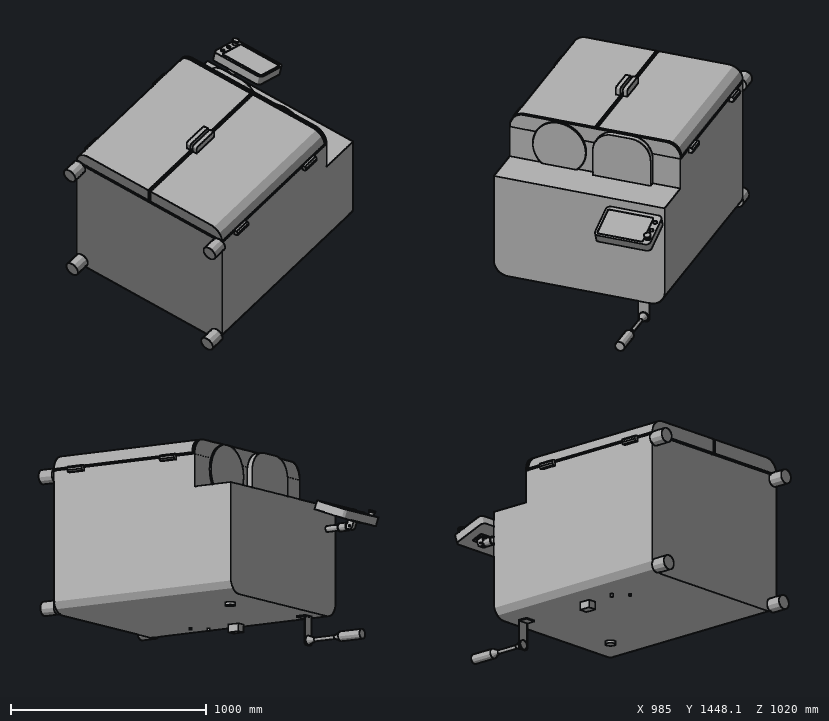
import cadquery as cq
import math


CASE_WIDTH = 935.0
CASE_DEPTH = 825.0
CASE_LENGTH = 1100.0
CORNER_RADIUS = 77.0
LEDGE_Z = 570.0
HEADER_TOP_Y = 877.0
HEADER_THICKNESS = 6.0
DOOR_SEAT_Z = 740.0

DOOR_BACK_Z = 750.0
DOOR_END_Y = 860.0
DOOR_GAP = 15.0
SEAL_REACH = 5.0
SEAL_INSET = 1.0
HANDLE_WIDTH = 25.0
HANDLE_HEIGHT = 42.0
HANDLE_LENGTH = 150.0
HANDLE_MID_Y = 430.0
HANDLE_END_RADIUS = 12.0

FOOT_RADIUS = 38.0
FOOT_LENGTH = 83.0
FOOT_PLACES = [(449.0, 718.0), (433.0, FOOT_RADIUS)]

HINGE_LENGTH = 90.0
HINGE_WIDTH = 29.0
HINGE_CHAMFER = 9.0
HINGE_REACH = 25.0
HINGE_Z = 735.0
HINGE_MIDS_Y = [145.0, 718.0]

HUMP_LEFT = -315.0
HUMP_WIDTH = 315.0
HUMP_RADIUS = 105.0
HUMP_TOP_Z = 824.0
HUMP_THICKNESS = 30.0
DISC_X = 193.0
DISC_RADIUS = 145.0
DISC_THICKNESS = 10.0

BLOCK_X, BLOCK_Y = -325.0, 579.0
BLOCK_WIDTH, BLOCK_LENGTH, BLOCK_DEPTH = 48.0, 62.0, 40.0
PORT_X, PORT_Y = 217.0, 922.0
PORT_RADIUS, PORT_DEPTH = 26.0, 15.0
KNOBS = [(-339.0, 400.0, 7.0, 15.0), (-274.0, 333.0, 6.0, 9.0)]

LAMP_X = -325.0
LAMP_Z = -127.0
LAMP_END_Y = 1365.0
LAMP_HEAD_RADIUS = 26.0
LAMP_HEAD_LENGTH = 133.0
LAMP_SHOULDER_LENGTH = 13.0
LAMP_COLLAR_RADIUS = 19.0
LAMP_COLLAR_LENGTH = 23.0
LAMP_ROD_RADIUS = 10.0
BRACKET_WIDTH = 61.0
BRACKET_SHEET = 6.0
BRACKET_TOP_Y = 1030.0
BRACKET_FLANGE = 54.0
BRACKET_DROP = 153.0
BRACKET_CORNER = 17.0
LAMP_BASE_RADIUS = 25.0
LAMP_BASE_LENGTH = 40.0
LAMP_STUB_RISE = 1.0

SCREEN_TILT = 20.0
DISPLAY_CENTER = (-335.0, 1261.0, 508.0)
DISPLAY_WIDTH, DISPLAY_LENGTH, DISPLAY_THICKNESS = 304.0, 204.0, 48.0
DISPLAY_CORNER = 23.0
SCREEN_WIDTH, SCREEN_LENGTH = 249.0, 168.0
SCREEN_SHIFT = (15.0, 3.0)
SCREEN_RECESS = 3.0
SCREEN_CORNER = 9.0
BUTTON_X, BUTTON_Y = -129.0, 3.0
BUTTON_PITCH = 55.0
BUTTON_RADIUS, BUTTON_HEIGHT = 10.0, 3.0
STOP_STEM_RADIUS, STOP_STEM_HEIGHT = 15.0, 16.0
STOP_HEAD_RADIUS, STOP_HEAD_HEIGHT = 17.0, 9.0
ARM_X, ARM_Z = -392.0, 452.0
POLE_RADIUS = 16.0
SLEEVE_RADIUS = 22.0
SLEEVE_START_Y, SLEEVE_END_Y = 1178.0, 1227.0
PIVOT_Y = 1248.0
PIVOT_RADIUS = 19.0
PIVOT_WIDTH = 29.0
PIVOT_HOLE_RADIUS = 5.0
PAD_LENGTH, PAD_THICKNESS = 61.0, 6.0


def box(x0, x1, y0, y1, z0, z1):
    return cq.Workplane("XY").box(x1 - x0, y1 - y0, z1 - z0, centered=False).translate((x0, y0, z0))


def rod(x, z, radius, y0, y1):
    """Cylinder along Y."""
    return cq.Workplane("XZ", origin=(x, y0, z)).circle(radius).extrude(y0 - y1)


def stud(x, y, radius, z0, z1):
    """Cylinder along Z."""
    return cq.Workplane("XY", origin=(x, y, z0)).circle(radius).extrude(z1 - z0)


def rounded_casing(y0, y1, inset=0):
    """Casing section between two Y positions, all four long edges rounded, shrunk by the inset."""
    half = CASE_WIDTH / 2 - inset
    return box(-half, half, y0, y1, inset, CASE_DEPTH - inset).edges("|Y").fillet(CORNER_RADIUS - inset)


def make_hinge(side, mid_y):
    """Bar with chamfered outer edges on the side of the casing, clear of the door seal."""
    hinge = box(
        CASE_WIDTH / 2, CASE_WIDTH / 2 + HINGE_REACH,
        mid_y - HINGE_LENGTH / 2, mid_y + HINGE_LENGTH / 2,
        HINGE_Z - HINGE_WIDTH / 2, HINGE_Z + HINGE_WIDTH / 2,
    ).edges(">X and |Y").chamfer(HINGE_CHAMFER)
    return hinge if side > 0 else hinge.mirror("YZ")


def make_header_covers():
    hump = box(
        HUMP_LEFT, HUMP_LEFT + HUMP_WIDTH,
        HEADER_TOP_Y, HEADER_TOP_Y + HUMP_THICKNESS,
        LEDGE_Z, HUMP_TOP_Z,
    ).edges("|Y and >Z").fillet(HUMP_RADIUS)
    disc = rod(DISC_X, HUMP_TOP_Z - DISC_RADIUS, DISC_RADIUS, HEADER_TOP_Y, HEADER_TOP_Y + DISC_THICKNESS)
    room = box(-CASE_WIDTH, CASE_WIDTH, 0, CASE_LENGTH, LEDGE_Z, CASE_DEPTH)
    return hump.union(disc.intersect(room))


def make_back_fittings():
    fittings = box(
        BLOCK_X - BLOCK_WIDTH / 2, BLOCK_X + BLOCK_WIDTH / 2,
        BLOCK_Y - BLOCK_LENGTH / 2, BLOCK_Y + BLOCK_LENGTH / 2,
        -BLOCK_DEPTH, 0,
    )
    for x, y, radius, depth in [(PORT_X, PORT_Y, PORT_RADIUS, PORT_DEPTH)] + KNOBS:
        fittings = fittings.union(stud(x, y, radius, -depth, 0))
    return fittings


def make_lamp():
    """Bent sheet bracket that carries a turned lamp on a thin rod."""
    left = LAMP_X - BRACKET_WIDTH / 2
    right = LAMP_X + BRACKET_WIDTH / 2
    hanger = box(left, right, BRACKET_TOP_Y - BRACKET_SHEET, BRACKET_TOP_Y, -BRACKET_DROP, 0)
    hanger = hanger.edges("|Y and <Z").fillet(BRACKET_CORNER)
    flange = box(left, right, BRACKET_TOP_Y - BRACKET_FLANGE, BRACKET_TOP_Y, -BRACKET_SHEET, 0)
    head_y = LAMP_END_Y - LAMP_HEAD_LENGTH
    shoulder_y = head_y - LAMP_SHOULDER_LENGTH
    collar_y = shoulder_y - LAMP_COLLAR_LENGTH
    stub_y = BRACKET_TOP_Y - BRACKET_SHEET - LAMP_STUB_RISE
    turned = (
        cq.Workplane("XY")
        .moveTo(0, stub_y)
        .lineTo(LAMP_BASE_RADIUS, stub_y)
        .lineTo(LAMP_BASE_RADIUS, BRACKET_TOP_Y)
        .lineTo(LAMP_ROD_RADIUS, BRACKET_TOP_Y + LAMP_BASE_LENGTH)
        .lineTo(LAMP_ROD_RADIUS, collar_y)
        .lineTo(LAMP_COLLAR_RADIUS, shoulder_y)
        .lineTo(LAMP_HEAD_RADIUS, head_y)
        .lineTo(LAMP_HEAD_RADIUS, LAMP_END_Y)
        .lineTo(0, LAMP_END_Y)
        .close()
        .revolve(360, (0, 0, 0), (0, 1, 0))
        .translate((LAMP_X, 0, LAMP_Z))
    )
    return hanger.union(flange).union(turned)


def make_cabinet():
    wide = CASE_WIDTH
    door_room = box(-wide, wide, 0, HEADER_TOP_Y - HEADER_THICKNESS, DOOR_SEAT_Z, CASE_DEPTH)
    ledge_room = box(-wide, wide, HEADER_TOP_Y, CASE_LENGTH, LEDGE_Z, CASE_DEPTH)
    cabinet = rounded_casing(0, CASE_LENGTH).cut(door_room).cut(ledge_room)
    cabinet = cabinet.union(make_header_covers()).union(make_back_fittings()).union(make_lamp())
    for side in (-1, 1):
        for x, z in FOOT_PLACES:
            cabinet = cabinet.union(rod(side * x, z, FOOT_RADIUS, -FOOT_LENGTH, 0))
        for mid_y in HINGE_MIDS_Y:
            cabinet = cabinet.union(make_hinge(side, mid_y))
    return cabinet


def make_door(side):
    """Solid door panel with a rounded outer edge, a seal round it and a bar handle at the gap."""
    inner = DOOR_GAP / 2
    half = HANDLE_LENGTH / 2
    panel = rounded_casing(0, DOOR_END_Y).intersect(
        box(inner, CASE_WIDTH, 0, DOOR_END_Y, DOOR_BACK_Z, CASE_DEPTH)
    )
    seal = rounded_casing(SEAL_INSET, DOOR_END_Y + SEAL_REACH, SEAL_INSET).intersect(
        box(inner - SEAL_REACH, CASE_WIDTH, 0, CASE_LENGTH, DOOR_BACK_Z - SEAL_REACH, CASE_DEPTH)
    )
    handle = box(
        inner, inner + HANDLE_WIDTH,
        HANDLE_MID_Y - half, HANDLE_MID_Y + half,
        CASE_DEPTH, CASE_DEPTH + HANDLE_HEIGHT,
    ).edges("|X and >Z").fillet(HANDLE_END_RADIUS)
    door = panel.union(seal).union(handle)
    return door if side > 0 else door.mirror("YZ")


def make_display():
    """Tilted display with screen, buttons and emergency stop, on an arm that stands on the cabinet."""
    face = DISPLAY_THICKNESS / 2
    case = cq.Workplane("XY").box(DISPLAY_WIDTH, DISPLAY_LENGTH, DISPLAY_THICKNESS)
    case = case.edges("|Z").fillet(DISPLAY_CORNER)
    screen = (
        cq.Workplane("XY")
        .box(SCREEN_WIDTH, SCREEN_LENGTH, 2 * SCREEN_RECESS)
        .edges("|Z").fillet(SCREEN_CORNER)
        .translate((*SCREEN_SHIFT, face))
    )
    case = case.cut(screen)
    for row in (-1, 0):
        button_y = BUTTON_Y + row * BUTTON_PITCH
        case = case.union(stud(BUTTON_X, button_y, BUTTON_RADIUS, 0, face + BUTTON_HEIGHT))
    stop_y = BUTTON_Y + BUTTON_PITCH
    stem_top = face + STOP_STEM_HEIGHT
    case = case.union(stud(BUTTON_X, stop_y, STOP_STEM_RADIUS, 0, stem_top))
    case = case.union(stud(BUTTON_X, stop_y, STOP_HEAD_RADIUS, stem_top, stem_top + STOP_HEAD_HEIGHT))

    tilt = math.radians(SCREEN_TILT)
    rise_y = PIVOT_Y - DISPLAY_CENTER[1]
    rise_z = ARM_Z - DISPLAY_CENTER[2]
    pivot_y = rise_y * math.cos(tilt) - rise_z * math.sin(tilt)
    pivot_z = rise_y * math.sin(tilt) + rise_z * math.cos(tilt)
    lug_x = ARM_X - DISPLAY_CENTER[0]
    pad = box(
        lug_x - PIVOT_WIDTH, lug_x + PIVOT_WIDTH,
        pivot_y - PAD_LENGTH / 2, pivot_y + PAD_LENGTH / 2,
        -face - PAD_THICKNESS, -face,
    )
    lug = box(
        lug_x - PIVOT_WIDTH / 2, lug_x + PIVOT_WIDTH / 2,
        pivot_y - PIVOT_RADIUS, pivot_y + PIVOT_RADIUS,
        pivot_z, -face,
    )
    tilted = case.union(pad).union(lug).rotate((0, 0, 0), (1, 0, 0), -SCREEN_TILT).translate(DISPLAY_CENTER)

    pivot = cq.Workplane("YZ", origin=(ARM_X, PIVOT_Y, ARM_Z))
    knuckle = pivot.circle(PIVOT_RADIUS).extrude(PIVOT_WIDTH / 2, both=True)
    pivot_hole = pivot.circle(PIVOT_HOLE_RADIUS).extrude(PIVOT_WIDTH, both=True)
    fork = box(
        ARM_X - PIVOT_WIDTH / 2, ARM_X + PIVOT_WIDTH / 2,
        SLEEVE_START_Y, PIVOT_Y,
        ARM_Z - PIVOT_WIDTH / 2, ARM_Z + PIVOT_WIDTH / 2,
    )
    pole = rod(ARM_X, ARM_Z, POLE_RADIUS, CASE_LENGTH, SLEEVE_START_Y)
    sleeve = rod(ARM_X, ARM_Z, SLEEVE_RADIUS, SLEEVE_START_Y, SLEEVE_END_Y)
    arm = pole.union(sleeve).union(fork).union(knuckle)
    return tilted.union(arm).cut(pivot_hole)


cabinet = make_cabinet()
doors = [make_door(side) for side in (-1, 1)]
display = make_display()

result = cq.Compound.makeCompound([cabinet.val(), *[door.val() for door in doors], display.val()])